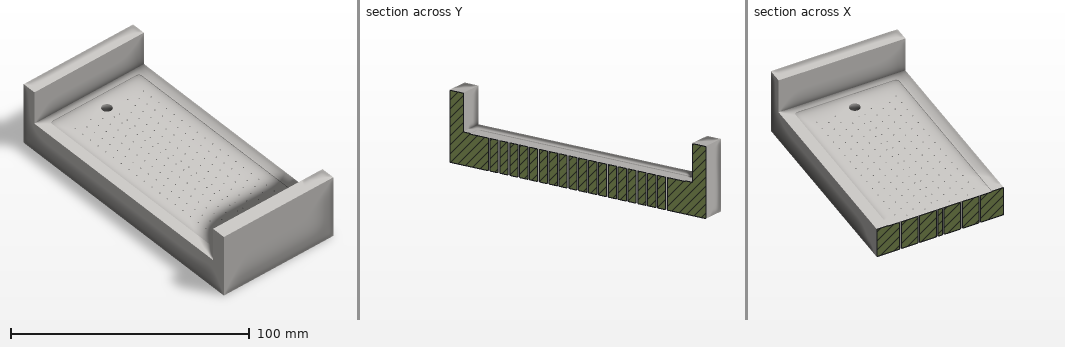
import cadquery as cq
import math

LENGTH = 130.0
WIDTH = 60.0
HEIGHT = 32.1
WALL_THICKNESS = 7.0
FLOOR_HEIGHT = 15.0

POCKET_LENGTH = 109.0
POCKET_WIDTH = 49.0
POCKET_DEPTH = 0.3
POCKET_CORNER_DIAMETER = 3.2

MAIN_HOLE_DIAMETER = 5.0
MAIN_HOLE_SPACING = 93.0

FINE_HOLE_DIAMETER = 0.6
FULL_ROW_COUNT = 19
FULL_ROW_SPAN = 90.0
FINE_PITCH = FULL_ROW_SPAN / (FULL_ROW_COUNT - 1)
FINE_ROW_PITCH = FINE_PITCH * math.sin(math.radians(60))
INNER_ROW_Y = 1.4
FULL_ROW_START = -FULL_ROW_SPAN / 2

BACK_ROWS = [(1, 17), (1.5, 16), (0, 19), (0.5, 18), (0, 19)]
FRONT_ROWS = [(1, 17), (0.5, 18), (0, 18), (0.5, 18), (0, 19)]


def make_body():
    body = cq.Workplane("XY").box(LENGTH, WIDTH, HEIGHT, centered=(True, True, False))
    gap = (
        cq.Workplane("XY")
        .workplane(offset=FLOOR_HEIGHT)
        .rect(LENGTH - 2 * WALL_THICKNESS, WIDTH)
        .extrude(HEIGHT - FLOOR_HEIGHT)
    )
    return body.cut(gap)


def make_pocket():
    return (
        cq.Workplane("XY")
        .workplane(offset=FLOOR_HEIGHT - POCKET_DEPTH)
        .rect(POCKET_LENGTH, POCKET_WIDTH)
        .extrude(POCKET_DEPTH)
        .edges("|Z")
        .fillet(POCKET_CORNER_DIAMETER / 2)
    )


def fine_hole_points(rows, side):
    """Hole centres on one side of the centre line; side is +1 for +Y and -1 for -Y."""
    points = []
    for row_index, (skipped, count) in enumerate(rows):
        y = side * (INNER_ROW_Y + row_index * FINE_ROW_PITCH)
        for hole_index in range(count):
            x = FULL_ROW_START + (skipped + hole_index) * FINE_PITCH
            points.append((x, y))
    return points


def make_through_holes(points, diameter):
    return cq.Workplane("XY").pushPoints(points).circle(diameter / 2).extrude(FLOOR_HEIGHT)


main_points = [(-MAIN_HOLE_SPACING / 2, 0), (MAIN_HOLE_SPACING / 2, 0)]
fine_points = fine_hole_points(BACK_ROWS, 1) + fine_hole_points(FRONT_ROWS, -1)

result = (
    make_body()
    .cut(make_pocket())
    .cut(make_through_holes(main_points, MAIN_HOLE_DIAMETER))
    .cut(make_through_holes(fine_points, FINE_HOLE_DIAMETER))
)